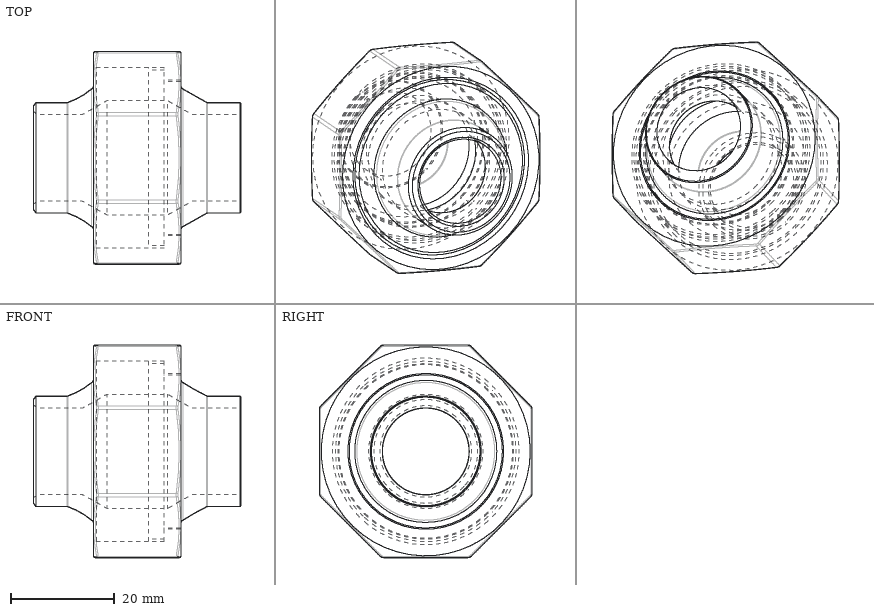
import cadquery as cq
import math


total_length = 40.0
across_flats = 41.0

stub_radius = 21.3 / 2
bore_radius = 16.7 / 2
stub_length = 6.55
bore_length = 9.45
flare_length = 4.7
chamber_radius = 22.0 / 2

nut_sides = 8
nut_width = 16.95
nut_start = (total_length - nut_width) / 2
nut_end = nut_start + nut_width
nut_corner_fillet = 1.0
nut_face_radius = 40.25 / 2
nut_bevel_angle = 20.0
nut_edge_fillet = 0.35
lip_thickness = 3.3
lip_bore_radius = 30.0 / 2

thread_radius = 34.75 / 2
nut_mouth_radius = 36.0 / 2
thread_tip_radius = 33.5 / 2

neck_radius = 13.3
root_radius = 13.7
root_length = 0.33
root_fillet = 0.65
neck_sag = 0.25
neck_edge_fillet = 0.5

joint_position = 22.15
collar_radius = 33.82 / 2
hub_radius = 29.5 / 2

threaded_end_chamfer = 0.5
threaded_end_drop = 0.65
threaded_bore_rounding = 0.5
collared_end_chamfer = 0.2


def revolve_about_x(profile):
    """Close an outline of (X, radius) points and spin it round the X axis."""
    return profile.close().revolve(360, (0, 0, 0), (1, 0, 0))


def neck_middle(start, end, sag):
    """Point on the neck curve halfway along, pushed sag below the chord."""
    length = math.dist(start, end)
    run = (end[0] - start[0]) / length
    rise = (end[1] - start[1]) / length
    return ((start[0] + end[0]) / 2 + sag * rise, (start[1] + end[1]) / 2 - sag * run)


def round_ring_edge(piece, position):
    """Round the circular edges that lie at this X position."""
    slab_half = 0.05
    slab = cq.selectors.BoxSelector(
        (position - slab_half, -across_flats, -across_flats),
        (position + slab_half, across_flats, across_flats),
    )
    return piece.edges("%CIRCLE").edges(slab).fillet(neck_edge_fillet)


def make_threaded_piece():
    neck_start = (stub_length, stub_radius)
    neck_end = (nut_start - root_length, neck_radius)
    tip_chamfer = thread_radius - thread_tip_radius
    profile = (
        cq.Workplane("XY")
        .moveTo(0, bore_radius + threaded_bore_rounding)
        .lineTo(0, stub_radius - threaded_end_drop)
        .lineTo(threaded_end_chamfer, stub_radius)
        .lineTo(*neck_start)
        .threePointArc(neck_middle(neck_start, neck_end, neck_sag), neck_end)
        .radiusArc((nut_start, root_radius), -root_fillet)
        .lineTo(nut_start, thread_tip_radius)
        .lineTo(nut_start + tip_chamfer, thread_radius)
        .lineTo(joint_position, thread_radius)
        .lineTo(joint_position, chamber_radius)
        .lineTo(bore_length + flare_length, chamber_radius)
        .lineTo(bore_length, bore_radius)
        .lineTo(threaded_bore_rounding, bore_radius)
        .radiusArc((0, bore_radius + threaded_bore_rounding), -threaded_bore_rounding)
    )
    piece = revolve_about_x(profile)
    piece = round_ring_edge(piece, stub_length)
    return round_ring_edge(piece, bore_length)


def make_collared_piece():
    stub_start = total_length - stub_length
    bore_end = total_length - bore_length
    lip_face = nut_end - lip_thickness
    profile = (
        cq.Workplane("XY")
        .moveTo(total_length, bore_radius)
        .lineTo(total_length, stub_radius - collared_end_chamfer)
        .lineTo(total_length - collared_end_chamfer, stub_radius)
        .lineTo(stub_start, stub_radius)
        .lineTo(nut_end + root_length, neck_radius)
        .radiusArc((nut_end, root_radius), root_fillet)
        .lineTo(nut_end, hub_radius)
        .lineTo(lip_face, hub_radius)
        .lineTo(lip_face, collar_radius)
        .lineTo(joint_position, collar_radius)
        .lineTo(joint_position, chamber_radius)
        .lineTo(bore_end - flare_length, chamber_radius)
        .lineTo(bore_end, bore_radius)
    )
    piece = revolve_about_x(profile)
    piece = round_ring_edge(piece, stub_start)
    return round_ring_edge(piece, bore_end)


def make_octagon_bar():
    half_side_angle = 180 / nut_sides
    across_corners = across_flats / math.cos(math.radians(half_side_angle))
    return (
        cq.Workplane("YZ")
        .workplane(offset=nut_start)
        .transformed(rotate=(0, 0, half_side_angle))
        .polygon(nut_sides, across_corners)
        .extrude(nut_width)
        .edges("|X")
        .fillet(nut_corner_fillet)
    )


def make_bevel_envelope():
    """Drum with conical ends that cuts the bevels on the octagon's corners."""
    drum_radius = across_flats
    drop = (drum_radius - nut_face_radius) * math.tan(math.radians(nut_bevel_angle))
    profile = (
        cq.Workplane("XY")
        .moveTo(nut_start, 0)
        .lineTo(nut_start, nut_face_radius)
        .lineTo(nut_start + drop, drum_radius)
        .lineTo(nut_end - drop, drum_radius)
        .lineTo(nut_end, nut_face_radius)
        .lineTo(nut_end, 0)
    )
    return revolve_about_x(profile)


def make_nut_cavity():
    mouth_chamfer = nut_mouth_radius - thread_radius
    lip_face = nut_end - lip_thickness
    profile = (
        cq.Workplane("XY")
        .moveTo(nut_start, 0)
        .lineTo(nut_start, nut_mouth_radius)
        .lineTo(nut_start + mouth_chamfer, thread_radius)
        .lineTo(lip_face, thread_radius)
        .lineTo(lip_face, lip_bore_radius)
        .lineTo(nut_end, lip_bore_radius)
        .lineTo(nut_end, 0)
    )
    return revolve_about_x(profile)


def make_nut():
    blank = make_octagon_bar().intersect(make_bevel_envelope())
    bevel_rims = blank.faces("%CONE").edges("not(%CIRCLE or %LINE)")
    blank = bevel_rims.fillet(nut_edge_fillet)
    return blank.cut(make_nut_cavity())


threaded_piece = make_threaded_piece()
collared_piece = make_collared_piece()
nut = make_nut()

result = cq.Compound.makeCompound([threaded_piece.val(), nut.val(), collared_piece.val()])